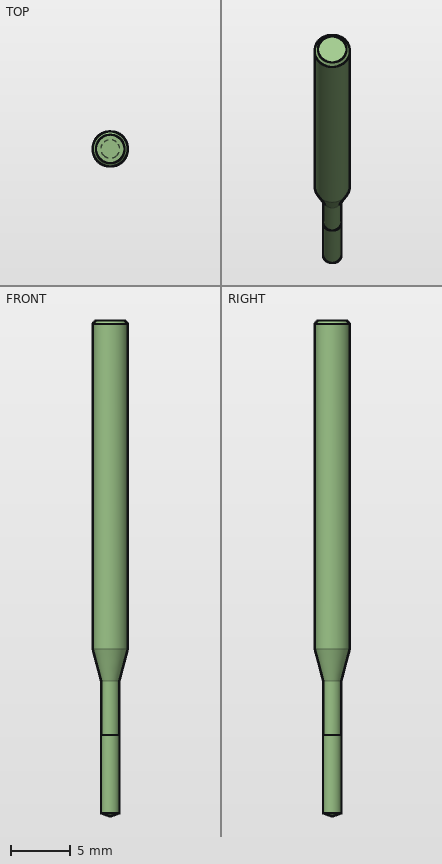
import cadquery as cq

total_length = 42.0
shank_diameter = 3.0
shank_chamfer = 0.3
taper_bottom = 11.45
taper_top = 14.2
neck_diameter = 1.55
cutter_diameter = 1.6
cutter_length = 6.9
tip_height = 0.3

shank_radius = shank_diameter / 2
neck_radius = neck_diameter / 2
cutter_radius = cutter_diameter / 2


def revolve_about_axis(profile):
    """Revolve a closed (radius, height) profile about the Z axis."""
    return cq.Workplane("XZ").polyline(profile).close().revolve(360, (0, 0), (0, 1))


def make_shank():
    """Chamfered shank that tapers down to a straight neck."""
    return revolve_about_axis([
        (0, cutter_length),
        (neck_radius, cutter_length),
        (neck_radius, taper_bottom),
        (shank_radius, taper_top),
        (shank_radius, total_length - shank_chamfer),
        (shank_radius - shank_chamfer, total_length),
        (0, total_length),
    ])


def make_cutter():
    """Cylindrical cutting section with a conical tip, set end to end with the neck."""
    return revolve_about_axis([
        (0, 0),
        (cutter_radius, tip_height),
        (cutter_radius, cutter_length),
        (0, cutter_length),
    ])


shank = make_shank()
cutter = make_cutter()

result = cq.Compound.makeCompound([shank.val(), cutter.val()])